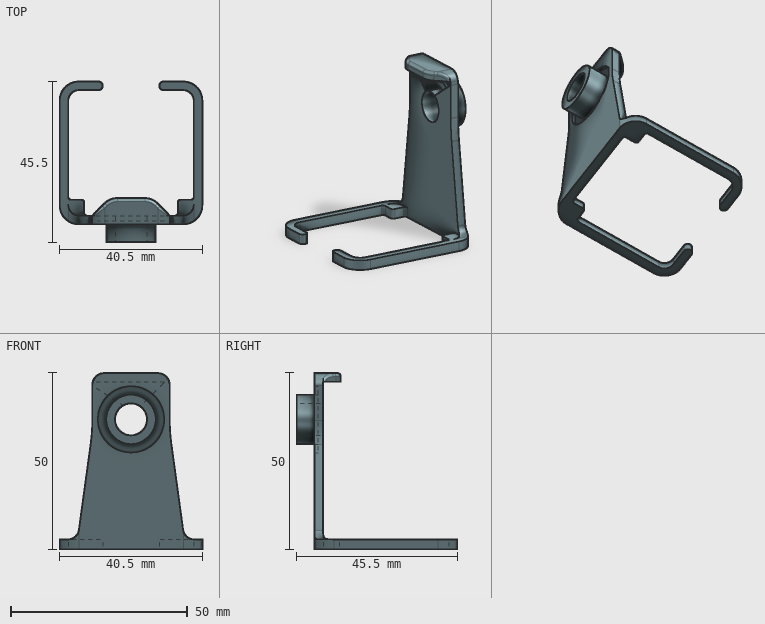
import cadquery as cq

FRAME_SIZE = 40.5
HEIGHT = 50.0
WALL = 2.5
BASE_THICKNESS = 2.9
CORNER_RADIUS = 5.5
HALF = FRAME_SIZE / 2
INNER_RADIUS = CORNER_RADIUS - WALL
MARGIN = 0.5

ARM_GAP_HALF = 8.0
TIP_RADIUS = WALL / 2 - 0.005
PAD_INNER_X = 13.25
PAD_DEPTH = 7.0
PAD_RADIUS = 0.8

PLATE_HALF_TOP = 11.0
PLATE_HALF_FOOT = 15.15
TAPER_TOP_Z = 33.2
TAPER_BLEND_RADIUS = 50.0
FOOT_RADIUS = 3.0
TOP_RADIUS = 3.5

LIP_DEPTH = 7.5
LIP_THICKNESS = 2.5
LIP_CORNER_RADIUS = 5.0
LIP_EDGE_RADIUS = 1.0

BOSS_Z = 36.85
BOSS_RADIUS = 7.0
BOSS_LENGTH = 5.0
BORE_RADIUS = 4.5
RECESS_RADIUS = 9.4
RECESS_DEPTH = 1.0


def frame_ring(height):
    """Closed square ring of strip with concentric rounded corners."""
    inner_size = FRAME_SIZE - 2 * WALL
    sketch_plane = cq.Workplane("XY").center(0, HALF)
    outer = sketch_plane.rect(FRAME_SIZE, FRAME_SIZE).extrude(height).edges("|Z").fillet(CORNER_RADIUS)
    inner = sketch_plane.rect(inner_size, inner_size).extrude(height).edges("|Z").fillet(INNER_RADIUS)
    return outer.cut(inner)


def base_frame():
    """Open frame with round arm tips and a pad in each corner beside the wall."""
    gap = cq.Workplane("XY").box(2 * ARM_GAP_HALF, 2 * WALL, BASE_THICKNESS, centered=(True, True, False))
    frame = frame_ring(BASE_THICKNESS).cut(gap.translate((0, FRAME_SIZE, 0)))
    tip_edges = cq.selectors.BoxSelector(
        (-ARM_GAP_HALF - MARGIN, FRAME_SIZE - WALL - MARGIN, -MARGIN),
        (ARM_GAP_HALF + MARGIN, FRAME_SIZE + MARGIN, BASE_THICKNESS + MARGIN),
    )
    frame = frame.edges("|Z").edges(tip_edges).fillet(TIP_RADIUS)

    inner_half = HALF - WALL
    pad = cq.Workplane("XY").box(
        inner_half - PAD_INNER_X, PAD_DEPTH - WALL, BASE_THICKNESS, centered=False
    )
    frame = frame.union(pad.translate((PAD_INNER_X, WALL, 0)))
    frame = frame.union(pad.translate((-inner_half, WALL, 0)))
    pad_edges = cq.selectors.BoxSelector(
        (-inner_half - MARGIN, WALL - MARGIN, -MARGIN),
        (inner_half + MARGIN, PAD_DEPTH + MARGIN, BASE_THICKNESS + MARGIN),
    )
    return frame.edges("|Z").edges(pad_edges).fillet(PAD_RADIUS)


def upright_outline():
    """Solid of the front outline: base strip, flared foot, taper and rounded top."""
    right_side = [
        (HALF, 0),
        (HALF, BASE_THICKNESS),
        (PLATE_HALF_FOOT, BASE_THICKNESS),
        (PLATE_HALF_TOP, TAPER_TOP_Z),
        (PLATE_HALF_TOP, HEIGHT),
    ]
    left_side = [(-x, z) for x, z in reversed(right_side)]
    solid = (
        cq.Workplane("XZ")
        .polyline(right_side + left_side)
        .close()
        .extrude(-CORNER_RADIUS - LIP_DEPTH)
    )
    rounded_corners = [
        (PLATE_HALF_FOOT, BASE_THICKNESS, FOOT_RADIUS),
        (PLATE_HALF_TOP, TAPER_TOP_Z, TAPER_BLEND_RADIUS),
        (PLATE_HALF_TOP, HEIGHT, TOP_RADIUS),
    ]
    for half_width, z, radius in rounded_corners:
        for x in (-half_width, half_width):
            corner = cq.selectors.BoxSelector(
                (x - MARGIN, -MARGIN, z - MARGIN),
                (x + MARGIN, FRAME_SIZE, z + MARGIN),
            )
            solid = solid.edges("|Y").edges(corner).fillet(radius)
    return solid


def upright_wall(outline):
    """Wall side of the ring, trimmed to the front outline."""
    wall_side = cq.Workplane("XY").box(FRAME_SIZE, CORNER_RADIUS, HEIGHT, centered=(True, False, False))
    return frame_ring(HEIGHT).intersect(wall_side).intersect(outline)


def top_lip(outline):
    """Lip with 45 degree sides, following the rounded top of the plate."""
    front_half = PLATE_HALF_TOP - (LIP_DEPTH - WALL)
    back_half = PLATE_HALF_TOP + WALL
    block_height = 2 * TOP_RADIUS
    block = (
        cq.Workplane("XY")
        .workplane(offset=HEIGHT - block_height)
        .polyline([(-back_half, 0), (back_half, 0), (front_half, LIP_DEPTH), (-front_half, LIP_DEPTH)])
        .close()
        .extrude(block_height)
    )
    block = block.edges("|Z and >Y").fillet(LIP_CORNER_RADIUS)
    block = block.intersect(outline)
    block = block.faces(">Z").edges(">Y").fillet(LIP_EDGE_RADIUS)
    lip_space = (
        cq.Workplane("XY")
        .box(2 * back_half, LIP_DEPTH - WALL, LIP_THICKNESS, centered=(True, False, False))
        .translate((0, WALL, HEIGHT - LIP_THICKNESS))
    )
    return block.intersect(lip_space)


def y_cylinder(radius, start, end):
    """Cylinder on the boss axis between two Y positions."""
    return cq.Workplane("XZ", origin=(0, start, BOSS_Z)).circle(radius).extrude(start - end)


outline = upright_outline()
result = base_frame().union(upright_wall(outline)).union(top_lip(outline))
result = result.cut(y_cylinder(RECESS_RADIUS, 0, RECESS_DEPTH))
result = result.union(y_cylinder(BOSS_RADIUS, -BOSS_LENGTH, WALL))
result = result.cut(y_cylinder(BORE_RADIUS, -BOSS_LENGTH, WALL))